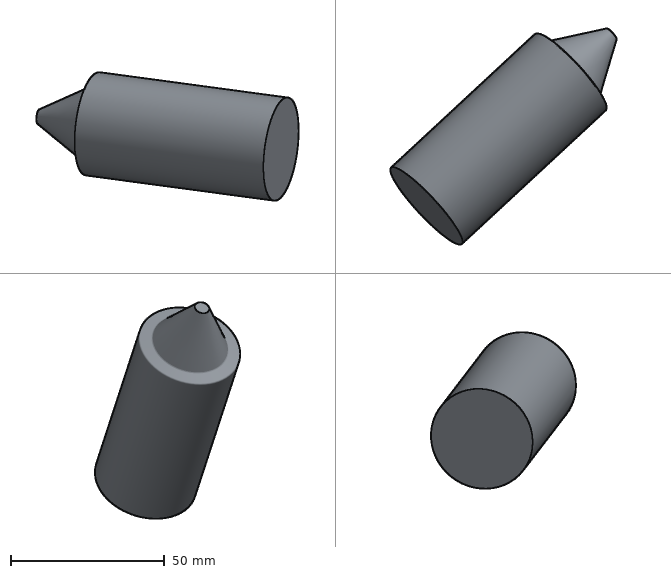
import cadquery as cq
import math

total_length = 83.9
body_radius = 34.0 / 2
tip_radius = 2.4
cone_length = 17.7
cone_half_angle = 30.0
shoulder_slope = 10.0
edge_round = 0.5

cone_base_radius = tip_radius + cone_length * math.tan(math.radians(cone_half_angle))
shoulder_depth = (body_radius - cone_base_radius) * math.tan(math.radians(shoulder_slope))
rim_x = cone_length + shoulder_depth
tip_x = -total_length / 2


def turned_body():
    """Pointed cylinder turned about the X axis, with the tip toward -X."""
    half_profile = (
        cq.Workplane("XY")
        .moveTo(0, 0)
        .lineTo(0, tip_radius)
        .lineTo(cone_length, cone_base_radius)
        .lineTo(rim_x, body_radius)
        .lineTo(total_length, body_radius)
        .lineTo(total_length, 0)
        .close()
    )
    return half_profile.revolve(360, (0, 0, 0), (1, 0, 0))


def round_edge(body, x, radius):
    """Fillet the circular edge of the given radius at position x."""
    clearance = edge_round / 10
    selector = cq.selectors.BoxSelector(
        (x - clearance, -clearance, -clearance),
        (x + clearance, radius + clearance, radius + clearance),
        boundingbox=False,
    )
    return body.edges("%CIRCLE").edges(selector).fillet(edge_round)


body = turned_body()
body = round_edge(body, rim_x, body_radius)
body = round_edge(body, cone_length, cone_base_radius)
result = body.translate((tip_x, 0, 0))